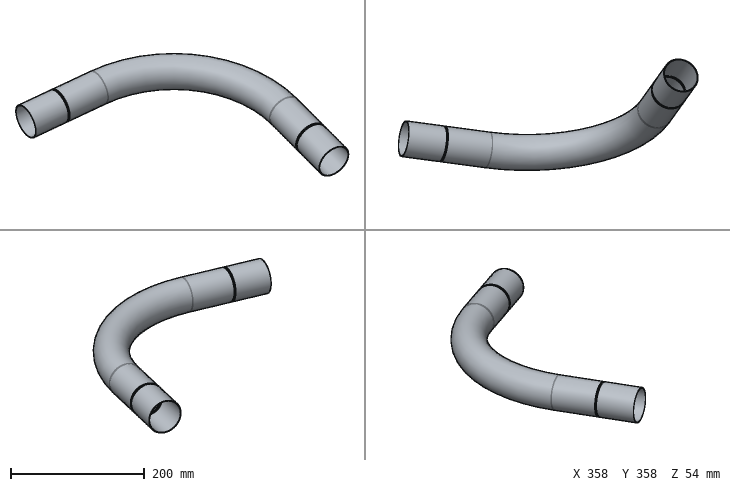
import cadquery as cq

overall_length = 358.0
pipe_diameter = 54.0
wall_thickness = 1.5
bend_radius = 200.0
groove_from_end = 59.0
groove_width = 2.5
groove_depth = 1.0

pipe_radius = pipe_diameter / 2
bore_radius = pipe_radius - wall_thickness
straight_length = overall_length - pipe_radius - bend_radius

leg_end_planes = [
    cq.Plane(origin=(-bend_radius, -straight_length, 0), xDir=(1, 0, 0), normal=(0, 1, 0)),
    cq.Plane(origin=(straight_length, bend_radius, 0), xDir=(0, 1, 0), normal=(-1, 0, 0)),
]


def make_leg(end_plane):
    """Straight tube with a rolled V groove that raises a matching bead in the bore."""
    groove_middle = groove_from_end + groove_width / 2
    groove_end = groove_from_end + groove_width
    wall_profile = [
        (pipe_radius, 0),
        (pipe_radius, groove_from_end),
        (pipe_radius - groove_depth, groove_middle),
        (pipe_radius, groove_end),
        (pipe_radius, straight_length),
        (bore_radius, straight_length),
        (bore_radius, groove_end),
        (bore_radius - groove_depth, groove_middle),
        (bore_radius, groove_from_end),
        (bore_radius, 0),
    ]
    leg = cq.Workplane("XY").polyline(wall_profile).close().revolve(360, (0, 0, 0), (0, 1, 0))
    leg = leg.rotate((0, 0, 0), (1, 0, 0), 90)
    return cq.Workplane(leg.val().moved(cq.Location(end_plane)))


def make_bend():
    """Quarter-turn tube swept clockwise about Z from the -X side to the +Y side."""
    return (
        cq.Workplane("XZ")
        .center(-bend_radius, 0)
        .circle(pipe_radius)
        .circle(bore_radius)
        .revolve(90, (bend_radius, 0, 0), (bend_radius, -1, 0))
    )


result = make_bend()
for end_plane in leg_end_planes:
    result = result.union(make_leg(end_plane))